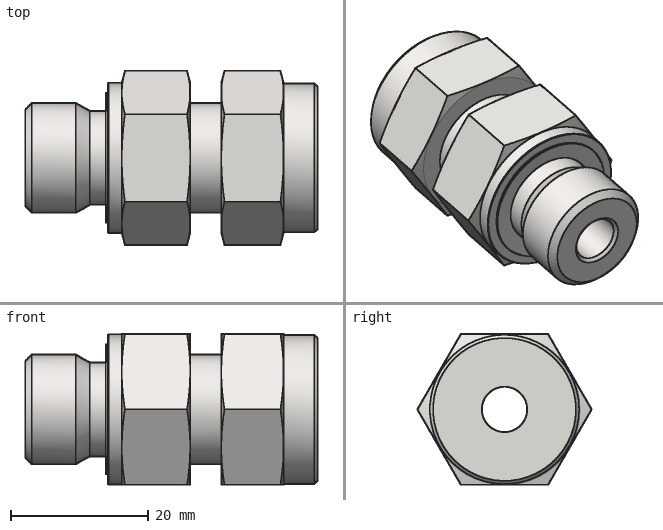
import cadquery as cq
import math


across_flats = 22.0
hex_bevel_angle = 15.0
bore_radius = 3.3
bore_mouth_radius = 3.75
body_radius = 8.0
total_length = 42.6

stud_taper_start = 7.35
stud_taper_end = 9.4
sealing_lip_start = 11.75
lip_face_root = 12.15
collar_start = 12.05
body_hex_start = 14.05
body_hex_end = 24.03

stud_chamfer = 1.0
undercut_radius = 6.85
sealing_lip_radius = 9.45
collar_radius = 10.95
collar_edge_break = 0.1

nut_hex_start = 28.55
nut_hex_end = 37.6
sleeve_radius = 10.85
sleeve_chamfer_length = 0.55
sleeve_chamfer_depth = 0.45

corner_radius = across_flats / 2 / math.cos(math.pi / 6)
hex_bevel_length = (corner_radius - collar_radius) * math.tan(math.radians(hex_bevel_angle))


def revolve_about_x(profile):
    """Solid of revolution about X from a closed list of (x, radius) points."""
    return cq.Workplane("XY").polyline(profile).close().revolve(360, (0, 0, 0), (1, 0, 0))


def cylinder_along_x(radius, start, end):
    return cq.Workplane("YZ", origin=(start, 0, 0)).circle(radius).extrude(end - start)


def beveled_hexagon(start, end):
    """Hexagon with corners on +-Y and its corners turned down by a cone at both ends."""
    prism = (
        cq.Workplane("YZ", origin=(start, 0, 0))
        .polygon(6, 2 * corner_radius)
        .extrude(end - start)
    )
    turned_envelope = revolve_about_x([
        (start, 0),
        (start, collar_radius),
        (start + hex_bevel_length, corner_radius),
        (end - hex_bevel_length, corner_radius),
        (end, collar_radius),
        (end, 0),
    ])
    return prism.intersect(turned_envelope)


def make_fitting_body():
    stud = revolve_about_x([
        (0, 0),
        (0, body_radius - stud_chamfer),
        (stud_chamfer, body_radius),
        (stud_taper_start, body_radius),
        (stud_taper_end, undercut_radius),
        (lip_face_root, undercut_radius),
        (sealing_lip_start, sealing_lip_radius),
        (collar_start, sealing_lip_radius),
        (collar_start, collar_radius - collar_edge_break),
        (collar_start + collar_edge_break, collar_radius),
        (body_hex_start, collar_radius),
        (body_hex_start, 0),
    ])
    hexagon = beveled_hexagon(body_hex_start, body_hex_end)

    neck = cylinder_along_x(body_radius, body_hex_end, nut_hex_end)

    bore = cylinder_along_x(bore_radius, 0, nut_hex_end)
    bore_mouth = revolve_about_x([
        (0, 0),
        (0, bore_mouth_radius),
        (bore_mouth_radius - bore_radius, bore_radius),
        (bore_mouth_radius - bore_radius, 0),
    ])
    return stud.union(hexagon).union(neck).cut(bore).cut(bore_mouth)


def make_union_nut():
    hexagon = beveled_hexagon(nut_hex_start, nut_hex_end)
    sleeve = revolve_about_x([
        (nut_hex_end, 0),
        (nut_hex_end, sleeve_radius),
        (total_length - sleeve_chamfer_length, sleeve_radius),
        (total_length, sleeve_radius - sleeve_chamfer_depth),
        (total_length, 0),
    ])

    neck_socket = cylinder_along_x(body_radius, nut_hex_start, nut_hex_end)
    bore = cylinder_along_x(bore_radius, nut_hex_end, total_length)
    return hexagon.union(sleeve).cut(neck_socket).cut(bore)


fitting_body = make_fitting_body()
union_nut = make_union_nut()

result = cq.Compound.makeCompound([fitting_body.val(), union_nut.val()])